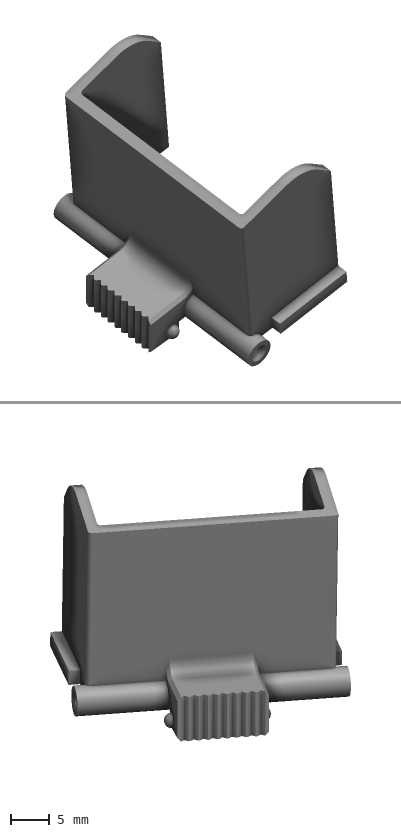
import cadquery as cq
import math

LEAN = 4.0

BARREL_LENGTH = 36.0
BARREL_DIAMETER = 4.0
BORE_DIAMETER = 2.0
BORE_CHAMFER = 0.25

WALL = 1.5
BRACKET_WIDTH = BARREL_LENGTH - 2 * WALL
FRONT_DEPTH = -0.07
BACK_DEPTH = 15.9
BASE_HEIGHT = 0.5
FRONT_TOP_HEIGHT = 23.75
BACK_TOP_HEIGHT = 21.65
FRONT_SLOPE = math.tan(math.radians(12))
BACK_SLOPE = math.tan(math.radians(45))
CREST_RADIUS = 6.0
CORNER_RADIUS = 0.5

RAIL_START_DEPTH = 3.9
RAIL_HEIGHT = 2.0

TAB_WIDTH = 12.02
TAB_TOP_HEIGHT = 3.02
TAB_UNDERSIDE_HEIGHT = -1.0
TAB_ROOT_RADIUS = 1.98
TAB_FRONT_Y = -7.85
TAB_LIP_Y = -2.85
TAB_BOTTOM_Z = -3.65
TAB_CHAMFER = 0.5

GROOVE_COUNT = 9
GROOVE_PITCH = 1.25
GROOVE_DEPTH = 0.5

BUMP_DIAMETER = 2.0
BUMP_Y = -4.1
BUMP_Z = -2.05


def lean(depth, height):
    """Turn bracket depth and height into global Y and Z."""
    angle = math.radians(LEAN)
    y = depth * math.cos(angle) - height * math.sin(angle)
    z = depth * math.sin(angle) + height * math.cos(angle)
    return y, z


def height_on_lean(y, height):
    """Global Z, at a given Y, of a leaning plane of constant bracket height."""
    angle = math.radians(LEAN)
    return y * math.tan(angle) + height / math.cos(angle)


def make_bracket():
    rise = BACK_TOP_HEIGHT - FRONT_TOP_HEIGHT + BACK_SLOPE * (BACK_DEPTH - FRONT_DEPTH)
    crest_run = rise / (FRONT_SLOPE + BACK_SLOPE)
    crest_depth = FRONT_DEPTH + crest_run
    crest_height = FRONT_TOP_HEIGHT + FRONT_SLOPE * crest_run

    body = (
        cq.Workplane("YZ")
        .moveTo(FRONT_DEPTH, BASE_HEIGHT)
        .lineTo(FRONT_DEPTH, FRONT_TOP_HEIGHT)
        .lineTo(crest_depth, crest_height)
        .lineTo(BACK_DEPTH, BACK_TOP_HEIGHT)
        .lineTo(BACK_DEPTH, BASE_HEIGHT)
        .close()
        .extrude(BRACKET_WIDTH / 2, both=True)
    )
    crest = cq.selectors.NearestToPointSelector((0, crest_depth, crest_height))
    body = body.edges(crest).fillet(CREST_RADIUS)
    body = body.faces("<Y").edges("|Z").fillet(CORNER_RADIUS)

    depth = BACK_DEPTH - FRONT_DEPTH
    inside = (
        cq.Workplane("XY")
        .box(BRACKET_WIDTH - 2 * WALL, depth, 2 * crest_height)
        .translate((0, FRONT_DEPTH + WALL + depth / 2, 0))
        .faces("<Y")
        .edges("|Z")
        .fillet(CORNER_RADIUS)
    )
    bracket = body.cut(inside)

    rail_length = BACK_DEPTH - RAIL_START_DEPTH
    for side in (-1, 1):
        rail = cq.Workplane("XY").box(WALL, rail_length, RAIL_HEIGHT).translate((
            side * (BRACKET_WIDTH + WALL) / 2,
            RAIL_START_DEPTH + rail_length / 2,
            BASE_HEIGHT + RAIL_HEIGHT / 2,
        ))
        bracket = bracket.union(rail)
    return bracket.rotate((0, 0, 0), (1, 0, 0), LEAN)


def make_tab():
    root_depth = FRONT_DEPTH + WALL / 2
    root_top = TAB_TOP_HEIGHT + TAB_ROOT_RADIUS
    arc_offset = TAB_ROOT_RADIUS * (1 - math.sqrt(0.5))
    arc_middle = lean(FRONT_DEPTH - arc_offset, TAB_TOP_HEIGHT + arc_offset)
    arc_end = lean(FRONT_DEPTH - TAB_ROOT_RADIUS, TAB_TOP_HEIGHT)

    tab = (
        cq.Workplane("YZ")
        .moveTo(*lean(root_depth, root_top))
        .lineTo(*lean(FRONT_DEPTH, root_top))
        .threePointArc(arc_middle, arc_end)
        .lineTo(TAB_FRONT_Y, height_on_lean(TAB_FRONT_Y, TAB_TOP_HEIGHT))
        .lineTo(TAB_FRONT_Y, TAB_BOTTOM_Z)
        .lineTo(TAB_LIP_Y, TAB_BOTTOM_Z)
        .lineTo(TAB_LIP_Y, height_on_lean(TAB_LIP_Y, TAB_UNDERSIDE_HEIGHT))
        .lineTo(*lean(root_depth, TAB_UNDERSIDE_HEIGHT))
        .close()
        .extrude(TAB_WIDTH / 2, both=True)
    )

    tab = tab.faces("<Z").edges("not <Y").chamfer(TAB_CHAMFER)
    top_middle_y = (arc_end[0] + TAB_FRONT_Y) / 2
    top_middle_z = height_on_lean(top_middle_y, TAB_TOP_HEIGHT)
    side_edges = None
    for y, z in (arc_middle, (top_middle_y, top_middle_z)):
        for x in (-TAB_WIDTH / 2, TAB_WIDTH / 2):
            edge = cq.selectors.NearestToPointSelector((x, y, z))
            side_edges = edge if side_edges is None else side_edges + edge
    tab = tab.edges(side_edges).chamfer(TAB_CHAMFER)

    for index in range(GROOVE_COUNT):
        x = (index - (GROOVE_COUNT - 1) / 2) * GROOVE_PITCH
        groove = (
            cq.Workplane("XY")
            .moveTo(x - GROOVE_DEPTH, TAB_FRONT_Y)
            .lineTo(x, TAB_FRONT_Y + GROOVE_DEPTH)
            .lineTo(x + GROOVE_DEPTH, TAB_FRONT_Y)
            .close()
            .extrude(2 * TAB_WIDTH, both=True)
        )
        tab = tab.cut(groove)

    for x in (-TAB_WIDTH / 2, TAB_WIDTH / 2):
        bump = cq.Workplane("XY").sphere(BUMP_DIAMETER / 2).translate((x, BUMP_Y, BUMP_Z))
        tab = tab.union(bump)
    return tab


def make_barrel():
    return cq.Workplane("YZ").circle(BARREL_DIAMETER / 2).extrude(BARREL_LENGTH / 2, both=True)


def make_bore():
    """Through bore, widened by a bevel at both mouths; drawn as radius over X."""
    half = BARREL_LENGTH / 2
    radius = BORE_DIAMETER / 2
    return (
        cq.Workplane("XY")
        .moveTo(-half, 0)
        .lineTo(-half, radius + BORE_CHAMFER)
        .lineTo(-half + BORE_CHAMFER, radius)
        .lineTo(half - BORE_CHAMFER, radius)
        .lineTo(half, radius + BORE_CHAMFER)
        .lineTo(half, 0)
        .close()
        .revolve(360, (0, 0, 0), (1, 0, 0))
    )


result = make_bracket().union(make_barrel()).union(make_tab()).cut(make_bore())